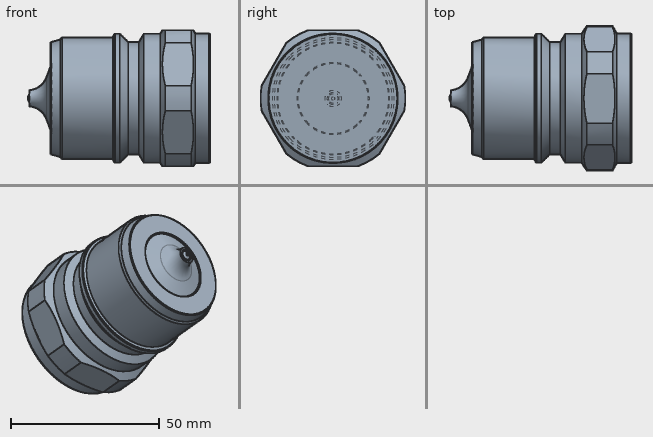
import cadquery as cq
import math

length = 61.6
across_flats = 46.0
across_corners = 49.0

button_tip_radius = 0.55
button_radius = 1.6
button_base_x = 0.7
nose_land_x = 0.5
nose_land_radius = 2.05
nose_face_x = 0.55
nose_radius = 2.8
flare_mid = (4.0, 4.05)
flare_end = (6.15, 6.85)
poppet_radius = 11.8
poppet_seat_x = 8.0

sleeve_x = 7.65
mouth_radius = 12.2
sleeve_face_radius = 18.7
lead_start_x = 7.95
lead_start_radius = 19.05
lead_end_x = 10.95
lead_end_radius = 19.9
shoulder_x = 11.3
barrel_x = 11.6
barrel_radius = 20.6

collar_x = 28.7
collar_ramp_x = 29.15
collar_ramp_radius = 21.55
collar_full_x = 29.5
collar_end_x = 31.05
collar_radius = 21.8
groove_x = 33.9
groove_end_x = 37.5
groove_radius = 19.05
band_x = 39.2

hex_x = 44.65
hex_full_x = 46.45
hex_full_end_x = 55.15
hex_end_x = 56.55
rear_radius = 21.9
rear_bevel_length = 0.45
rear_bevel_depth = 0.25


def turned_body():
    """Solid of revolution; profile points are (X, radius)."""
    profile = (
        cq.Workplane("XY")
        .moveTo(0, 0)
        .lineTo(0, button_tip_radius)
        .lineTo(button_base_x, button_radius)
        .lineTo(nose_land_x, nose_land_radius)
        .lineTo(nose_face_x, nose_radius)
        .threePointArc(flare_mid, flare_end)
        .lineTo(poppet_seat_x, poppet_radius)
        .lineTo(sleeve_x, mouth_radius)
        .lineTo(sleeve_x, sleeve_face_radius)
        .lineTo(lead_start_x, lead_start_radius)
        .lineTo(lead_end_x, lead_end_radius)
        .lineTo(shoulder_x, barrel_radius - (barrel_x - shoulder_x))
        .lineTo(barrel_x, barrel_radius)
        .lineTo(collar_x, barrel_radius)
        .lineTo(collar_ramp_x, collar_ramp_radius)
        .lineTo(collar_full_x, collar_radius)
        .lineTo(collar_end_x, collar_radius)
        .lineTo(groove_x, groove_radius)
        .lineTo(groove_end_x, groove_radius)
        .lineTo(band_x, collar_radius)
        .lineTo(hex_x, collar_radius)
        .lineTo(hex_full_x, across_corners / 2)
        .lineTo(hex_full_end_x, across_corners / 2)
        .lineTo(hex_end_x, rear_radius)
        .lineTo(length - rear_bevel_length, rear_radius)
        .lineTo(length, rear_radius - rear_bevel_depth)
        .lineTo(length, 0)
        .close()
    )
    return profile.revolve(360, (0, 0, 0), (1, 0, 0))


def hexagon_bar():
    """Hexagonal bar along X with flats facing +Z and -Z."""
    corner_diameter = across_flats / math.cos(math.pi / 6)
    return cq.Workplane("YZ").polygon(6, corner_diameter).extrude(length)


result = turned_body().intersect(hexagon_bar())